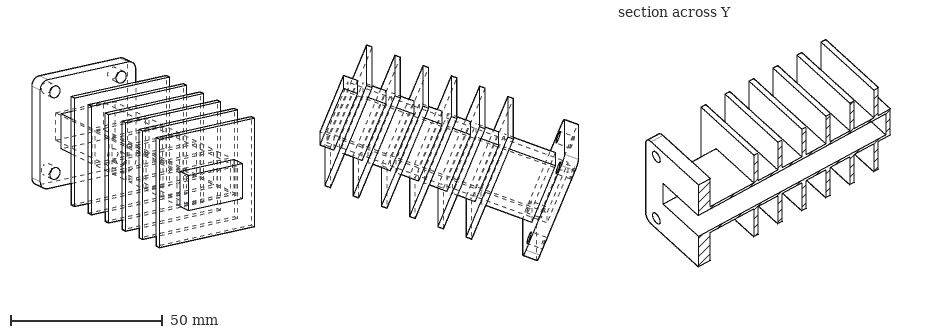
import cadquery as cq

total_length = 80.0
flange_size = 38.1
flange_thickness = 5.0
flange_corner_radius = 3.0

body_width = 21.4
body_height = 12.2
bore_width = 19.0
bore_height = 9.5
end_wall = 2.0
bore_depth = total_length - end_wall

hole_diameter = 4.1
hole_spacing_y = 26.4
hole_spacing_z = 28.5

fin_count = 6
fin_size = 37.9
fin_thickness = 2.0
fin_pitch = 10.0
first_fin_x = 23.0


def block(start_x, length, width, height):
    """Box centred on the X axis, starting at start_x."""
    return cq.Workplane("YZ", origin=(start_x, 0, 0)).rect(width, height).extrude(length)


def make_flange():
    """Square mounting plate with rounded corners and four through holes."""
    plate = block(0, flange_thickness, flange_size, flange_size)
    plate = plate.edges("|X").fillet(flange_corner_radius)
    holes = (
        cq.Workplane("YZ")
        .rect(hole_spacing_y, hole_spacing_z, forConstruction=True)
        .vertices()
        .circle(hole_diameter / 2)
        .extrude(flange_thickness)
    )
    return plate.cut(holes)


result = make_flange().union(block(0, total_length, body_width, body_height))

for index in range(fin_count):
    fin_x = first_fin_x + index * fin_pitch
    result = result.union(block(fin_x, fin_thickness, fin_size, fin_size))

result = result.cut(block(0, bore_depth, bore_width, bore_height))